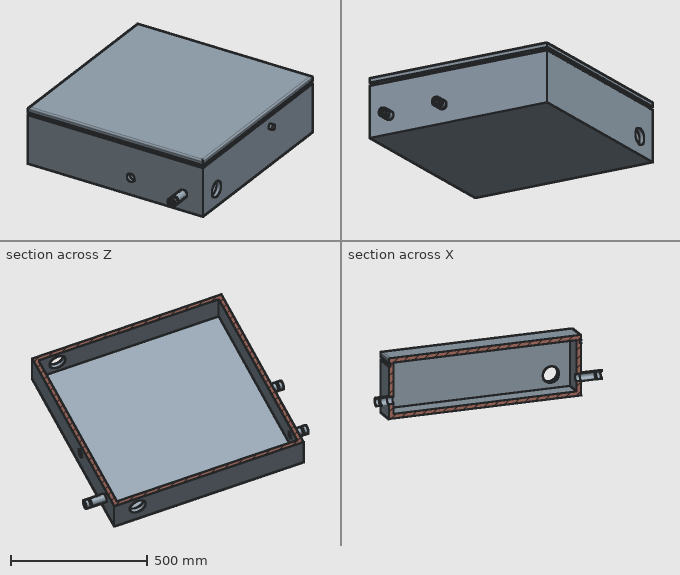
import cadquery as cq

side = 760.0
height = 237.0
wall = 20.0

lid_thickness = 20.5
lid_fillet = 7.0
groove_height = 12.0
groove_depth = 6.0
lid_bottom = height - lid_thickness

pipe_diameter = 34.0
pipe_bore = 27.0
front_pipe_length = 81.0
total_length = 890
back_pipe_length = total_length - side - front_pipe_length
ring_groove_diameter = 33.0
ring_groove_width = 5.0
ring_groove_from_end = 17.0
port_z = 72.0
main_port_x = 674.0
second_port_x = 447.0

opening_diameter = 63.0
opening_y = 94.0

pin_diameter = 21.0
pin_length = 15.0
pin_y = 464.5
pin_z = 163.0


def y_cylinder(diameter, x, start, length):
    """Cylinder along +Y at port height (negative length runs along -Y)."""
    direction = cq.Vector(0, 1 if length > 0 else -1, 0)
    base = cq.Vector(x, start, port_z)
    return cq.Workplane(obj=cq.Solid.makeCylinder(diameter / 2, abs(length), base, direction))


def x_cylinder(diameter, y, z, start, length):
    """Cylinder along +X."""
    base = cq.Vector(start, y, z)
    return cq.Workplane(obj=cq.Solid.makeCylinder(diameter / 2, length, base, cq.Vector(1, 0, 0)))


def square_block(inset, bottom, top):
    """Square block inset equally from the four enclosure sides."""
    width = side - 2 * inset
    return (
        cq.Workplane("XY")
        .box(width, width, top - bottom, centered=False)
        .translate((inset, inset, bottom))
    )


def make_enclosure():
    body = square_block(0, 0, lid_bottom - groove_height)
    neck = square_block(groove_depth, lid_bottom - groove_height, lid_bottom)
    lid = square_block(0, lid_bottom, height).faces(">Z").edges().fillet(lid_fillet)
    cavity = square_block(wall, wall, lid_bottom)
    return body.union(neck).union(lid).cut(cavity)


def make_pipe(x, wall_y, length):
    """Pipe standing on a Y wall, with a ring groove near its free end."""
    outward = 1 if length > 0 else -1
    groove_start = wall_y + length - outward * (ring_groove_from_end + ring_groove_width)
    groove_length = outward * ring_groove_width
    ring = y_cylinder(pipe_diameter, x, groove_start, groove_length)
    ring = ring.cut(y_cylinder(ring_groove_diameter, x, groove_start, groove_length))
    pipe = y_cylinder(pipe_diameter, x, wall_y, length)
    return pipe.cut(ring).cut(y_cylinder(pipe_bore, x, wall_y, length))


result = make_enclosure()

result = result.union(make_pipe(main_port_x, 0, -front_pipe_length))
for port_x in (main_port_x, second_port_x):
    result = result.union(make_pipe(port_x, side, back_pipe_length))

result = result.union(x_cylinder(pin_diameter, pin_y, pin_z, side, pin_length))

result = result.cut(y_cylinder(pipe_bore, main_port_x, 0, side))
result = result.cut(y_cylinder(pipe_diameter, second_port_x, 0, wall))
result = result.cut(x_cylinder(opening_diameter, opening_y, port_z, 0, side))